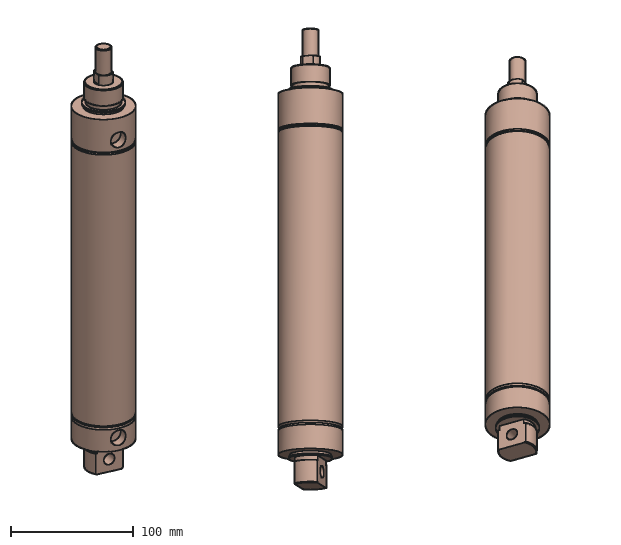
import cadquery as cq

TOTAL_LENGTH = 379.5
BODY_BOTTOM = 26.0
BODY_TOP = 326.0
NOSE_TOP = 348.0
SHOULDER_TOP = 356.7

BODY_DIAMETER = 52.7
BODY_RADIUS = BODY_DIAMETER / 2
GROOVE_DEPTH = 0.8
FRONT_GROOVE_Z = 295.2
FRONT_GROOVE_WIDTH = 2.3
REAR_GROOVE_Z = 48.0
REAR_GROOVE_WIDTH = 3.5

NOSE_RADIUS = 16.0
NOSE_CHAMFER = 0.8
COLLAR_RADIUS = 18.0
COLLAR_ROOT_RADIUS = 16.7
COLLAR_HEIGHT = 3.5
COLLAR_RIM = 1.0
NECK_RADIUS = 14.8
NECK_HEIGHT = 3.8
TANG_THICKNESS = 19.7
TANG_CHAMFER = 0.8
PIN_HOLE_DIAMETER = 10.0
PIN_HOLE_Z = 11.5

PORT_DIAMETER = 13.5
PORT_DEPTH = 9.5
FRONT_PORT_Z = 306.2
REAR_PORT_Z = 37.5

ROD_RADIUS = 8.0
ROD_END_DIAMETER = 13.3
ROD_END_RADIUS = ROD_END_DIAMETER / 2
ROD_END_CHAMFER = 0.8
FLATS_WIDTH = ROD_END_DIAMETER
ROD_BOTTOM = BODY_TOP


def disc(radius, bottom, top):
    """Solid cylinder on the Z axis between two heights."""
    return cq.Workplane("XY").workplane(offset=bottom).circle(radius).extrude(top - bottom)


def crimp_groove(z, width):
    """Ring that cuts a V groove around the cylinder body."""
    profile = [
        (BODY_RADIUS, z - width / 2),
        (BODY_RADIUS - GROOVE_DEPTH, z),
        (BODY_RADIUS, z + width / 2),
    ]
    return cq.Workplane("XZ").polyline(profile).close().revolve(360, (0, 0), (0, 1))


def collar(root_z, direction):
    """Collar that flares away from an end face of the body, followed by a narrow neck."""
    rim_start = root_z + direction * (COLLAR_HEIGHT - COLLAR_RIM)
    rim_end = root_z + direction * COLLAR_HEIGHT
    neck_end = rim_end + direction * NECK_HEIGHT
    profile = [
        (0, root_z),
        (COLLAR_ROOT_RADIUS, root_z),
        (COLLAR_RADIUS, rim_start),
        (COLLAR_RADIUS, rim_end),
        (NECK_RADIUS, rim_end),
        (NECK_RADIUS, neck_end),
        (0, neck_end),
    ]
    return cq.Workplane("XZ").polyline(profile).close().revolve(360, (0, 0), (0, 1))


def make_nose():
    bottom = BODY_TOP + COLLAR_HEIGHT + NECK_HEIGHT
    nose = disc(NOSE_RADIUS, bottom, NOSE_TOP).faces(">Z").chamfer(NOSE_CHAMFER)
    return nose.union(collar(BODY_TOP, 1))


def make_tang():
    """Round boss cut to two flats across X, with a pin hole along X."""
    top = BODY_BOTTOM - COLLAR_HEIGHT - NECK_HEIGHT
    boss = disc(NOSE_RADIUS, 0, top).faces("<Z").chamfer(TANG_CHAMFER)
    boss = boss.union(disc(NECK_RADIUS, top, BODY_BOTTOM - COLLAR_HEIGHT))
    slab = cq.Workplane("XY").box(
        TANG_THICKNESS, 2 * NOSE_RADIUS, BODY_BOTTOM, centered=(True, True, False)
    )
    pin_hole = (
        cq.Workplane("YZ").center(0, PIN_HOLE_Z).circle(PIN_HOLE_DIAMETER / 2)
        .extrude(TANG_THICKNESS, both=True)
    )
    return boss.intersect(slab).cut(pin_hole)


def make_rear_collar():
    bottom = BODY_BOTTOM - COLLAR_HEIGHT
    return collar(BODY_BOTTOM, -1).intersect(disc(COLLAR_RADIUS, bottom, BODY_BOTTOM))


def port(z):
    """Blind round port bored into the body from +X."""
    return (
        cq.Workplane("YZ").workplane(offset=BODY_RADIUS - PORT_DEPTH)
        .center(0, z).circle(PORT_DIAMETER / 2).extrude(PORT_DEPTH)
    )


def make_housing():
    housing = disc(BODY_RADIUS, BODY_BOTTOM, BODY_TOP)
    housing = housing.union(make_nose()).union(make_rear_collar()).union(make_tang())
    housing = housing.cut(crimp_groove(FRONT_GROOVE_Z, FRONT_GROOVE_WIDTH))
    housing = housing.cut(crimp_groove(REAR_GROOVE_Z, REAR_GROOVE_WIDTH))
    for z in (FRONT_PORT_Z, REAR_PORT_Z):
        housing = housing.cut(port(z))
    rod_bore = disc(ROD_RADIUS, ROD_BOTTOM, NOSE_TOP)
    return housing.cut(rod_bore)


def make_rod():
    """Rod with two wrench flats facing Y above the nose and a thinner end."""
    shank = disc(ROD_RADIUS, ROD_BOTTOM, NOSE_TOP)
    flats = (
        cq.Workplane("XY").workplane(offset=NOSE_TOP)
        .rect(2 * ROD_RADIUS, FLATS_WIDTH).extrude(SHOULDER_TOP - NOSE_TOP)
    )
    shoulder = disc(ROD_RADIUS, NOSE_TOP, SHOULDER_TOP).intersect(flats)
    end = disc(ROD_END_RADIUS, SHOULDER_TOP, TOTAL_LENGTH).faces(">Z").chamfer(ROD_END_CHAMFER)
    return shank.union(shoulder).union(end)


housing = make_housing()
rod = make_rod()
result = cq.Compound.makeCompound([housing.val(), rod.val()])